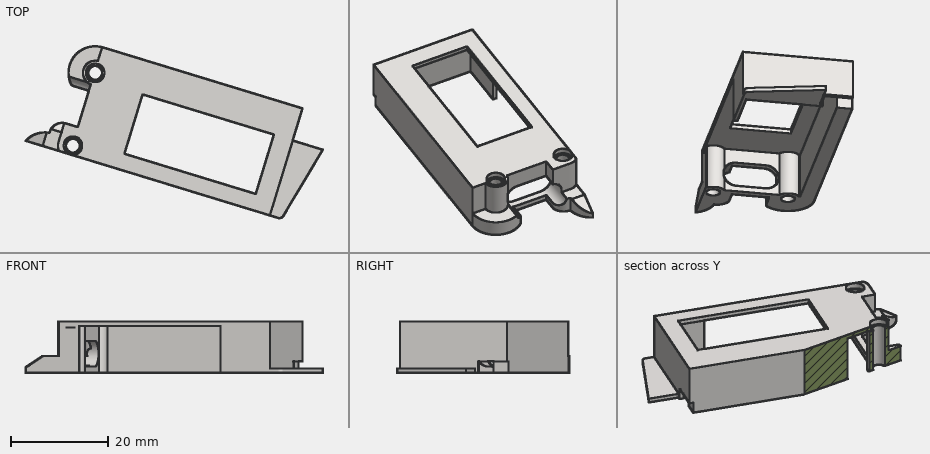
import cadquery as cq
import math

TILT = -17.0

HEIGHT = 10.6
PLATE_THICKNESS = 1.0
WALL = 0.85
LEFT_WALL = 1.6
SHELL_LEFT = 9.45
SHELL_RIGHT = 52.6
SHELL_WIDTH = 23.1
REAR_WALL = 3.25
OPENING_START = 11.5
OPENING_END = 41.95

WINDOW_LEFT = 20.3
WINDOW_FRONT = 3.4
WINDOW_LENGTH = 28.25
WINDOW_WIDTH = 12.75

COUNTERBORE_DIAMETER = 3.8
SCREW_X = 9.6
FRONT_SCREW_Y = COUNTERBORE_DIAMETER / 2
REAR_SCREW_Y = 17.6
BOSS_RADIUS = 2.5
HOLE_DIAMETER = 2.8
COUNTERBORE_DEPTH = 1.2

ARM_LEFT = 6.55
ARM_WIDTH = 5.9
FOOT_HEIGHT = 3.5
REAR_FOOT_RADIUS = SHELL_WIDTH - REAR_SCREW_Y
REAR_FOOT_FRONT = 13.65
REAR_FOOT_FILLET = 1.2
TIP_HEIGHT = 1.15
TIP_SLOPE_LENGTH = 3.7
TOE_ARC_MIDDLE = (1.85, 2.15)
TOE_ARC_END = (4.15, 3.05)
HEEL_ARC_START = (4.3, 3.85)
HEEL_ARC_MIDDLE = (5.25, 5.3)

SLOT_FRONT = 3.8
SLOT_REAR = 15.3
SLOT_BOTTOM = 1.3
SLOT_HEIGHT = 5.3

TONGUE_THICKNESS = 0.9
TONGUE_WIDTH = 16.2
TONGUE_FRONT_X = 55.15
TONGUE_REAR_X = 59.1
TONGUE_FILLET = 0.9
NOTCH_FRONT = 16.8
NOTCH_HEIGHT = 2.4


def block(x0, x1, y0, y1, z0, z1):
    """Box given by its limits along each axis."""
    return cq.Workplane("XY").box(x1 - x0, y1 - y0, z1 - z0, centered=False).translate((x0, y0, z0))


def cylinder(x, y, radius, height):
    return cq.Workplane("XY").center(x, y).circle(radius).extrude(height)


def make_shell():
    """Top plate with left, rear and right walls and a front wall open in the middle."""
    shell = block(SHELL_LEFT, SHELL_RIGHT, 0, SHELL_WIDTH, 0, HEIGHT)
    underside = HEIGHT - PLATE_THICKNESS
    cavity = block(SHELL_LEFT + LEFT_WALL, SHELL_RIGHT - WALL, WALL, SHELL_WIDTH - REAR_WALL, 0, underside)
    front_opening = block(OPENING_START, OPENING_END, 0, WALL, 0, underside)
    window = block(
        WINDOW_LEFT, WINDOW_LEFT + WINDOW_LENGTH,
        WINDOW_FRONT, WINDOW_FRONT + WINDOW_WIDTH, 0, HEIGHT,
    )
    notch = block(SHELL_RIGHT - WALL, SHELL_RIGHT, NOTCH_FRONT, SHELL_WIDTH, 0, NOTCH_HEIGHT)
    return shell.cut(cavity).cut(front_opening).cut(window).cut(notch)


def make_bosses():
    """Full-height screw bosses, the front one trimmed flush with the front face."""
    rear = cylinder(SCREW_X, REAR_SCREW_Y, BOSS_RADIUS, HEIGHT)
    front = cylinder(SCREW_X, FRONT_SCREW_Y, BOSS_RADIUS, HEIGHT)
    overhang = block(SCREW_X - BOSS_RADIUS, SCREW_X + BOSS_RADIUS, -BOSS_RADIUS, 0, 0, HEIGHT)
    return rear.union(front.cut(overhang))


def make_arm():
    """Full-height block beside the front screw, rounded about the screw axis."""
    radius = SCREW_X - ARM_LEFT
    front_x = SCREW_X - math.sqrt(radius**2 - FRONT_SCREW_Y**2)
    half_angle = math.asin(FRONT_SCREW_Y / radius) / 2
    middle = (SCREW_X - radius * math.cos(half_angle), FRONT_SCREW_Y - radius * math.sin(half_angle))
    return (
        cq.Workplane("XY")
        .moveTo(SCREW_X, 0)
        .lineTo(front_x, 0)
        .threePointArc(middle, (ARM_LEFT, FRONT_SCREW_Y))
        .lineTo(ARM_LEFT, ARM_WIDTH)
        .lineTo(SCREW_X, ARM_WIDTH)
        .close()
        .extrude(HEIGHT)
    )


def make_pointed_foot():
    """Low curved foot whose top slopes down to a blunt tip."""
    foot = (
        cq.Workplane("XY")
        .moveTo(0, 0)
        .threePointArc(TOE_ARC_MIDDLE, TOE_ARC_END)
        .lineTo(*HEEL_ARC_START)
        .threePointArc(HEEL_ARC_MIDDLE, (ARM_LEFT, ARM_WIDTH))
        .lineTo(SCREW_X, ARM_WIDTH)
        .lineTo(SCREW_X, 0)
        .close()
        .extrude(FOOT_HEIGHT)
    )
    slope = (
        cq.Workplane("XZ")
        .polyline([(0, TIP_HEIGHT), (TIP_SLOPE_LENGTH, FOOT_HEIGHT), (0, FOOT_HEIGHT)])
        .close()
        .extrude(-ARM_WIDTH)
    )
    return foot.cut(slope)


def make_round_foot():
    """Low round foot about the rear screw, with a flat front side."""
    disc = cylinder(SCREW_X, REAR_SCREW_Y, REAR_FOOT_RADIUS, FOOT_HEIGHT)
    left = SCREW_X - REAR_FOOT_RADIUS
    kept = block(left, SCREW_X, REAR_FOOT_FRONT, SHELL_WIDTH, 0, FOOT_HEIGHT)
    foot = disc.intersect(kept)
    return foot.edges("|Z").edges("<X").fillet(REAR_FOOT_FILLET)


def make_tongue():
    """Thin tapered tongue level with the bottom of the right wall."""
    tongue = (
        cq.Workplane("XY")
        .polyline([
            (SHELL_RIGHT - WALL, 0),
            (TONGUE_FRONT_X, 0),
            (TONGUE_REAR_X, TONGUE_WIDTH),
            (SHELL_RIGHT - WALL, TONGUE_WIDTH),
        ])
        .close()
        .extrude(TONGUE_THICKNESS)
    )
    front_corner = cq.selectors.NearestToPointSelector((TONGUE_FRONT_X, 0, TONGUE_THICKNESS / 2))
    return tongue.edges("|Z").edges(front_corner).fillet(TONGUE_FILLET)


def make_cable_slot():
    """Round-ended channel running lengthwise over the feet and through the left wall."""
    length = SHELL_LEFT + LEFT_WALL + BOSS_RADIUS
    return (
        cq.Workplane("YZ")
        .center((SLOT_FRONT + SLOT_REAR) / 2, SLOT_BOTTOM + SLOT_HEIGHT / 2)
        .slot2D(SLOT_REAR - SLOT_FRONT, SLOT_HEIGHT)
        .extrude(length)
    )


def make_screw_holes():
    return (
        cq.Workplane("XY", origin=(0, 0, HEIGHT))
        .pushPoints([(SCREW_X, FRONT_SCREW_Y), (SCREW_X, REAR_SCREW_Y)])
        .circle(HOLE_DIAMETER / 2)
        .extrude(-HEIGHT)
        .pushPoints([(SCREW_X, FRONT_SCREW_Y), (SCREW_X, REAR_SCREW_Y)])
        .circle(COUNTERBORE_DIAMETER / 2)
        .extrude(-COUNTERBORE_DEPTH)
    )


body = make_shell()
for feature in (make_bosses(), make_arm(), make_pointed_foot(), make_round_foot(), make_tongue()):
    body = body.union(feature)
body = body.cut(make_cable_slot()).cut(make_screw_holes())
result = body.rotate((0, 0, 0), (0, 0, 1), TILT)